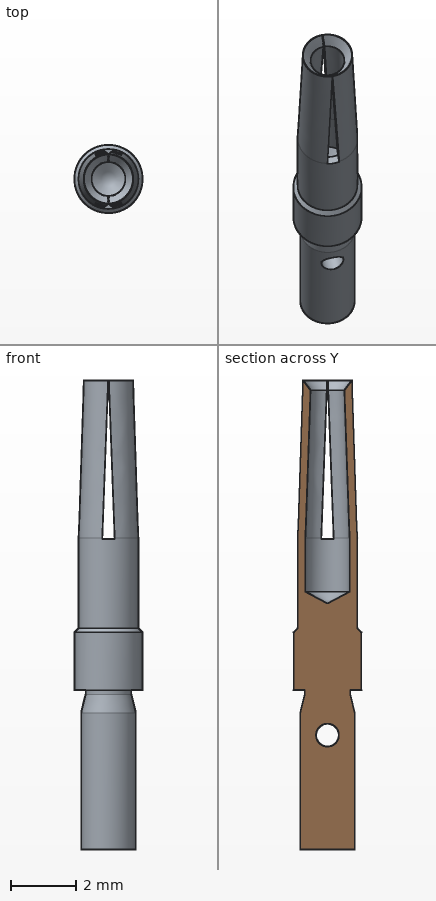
import cadquery as cq

length = 14.4
barrel_top = 4.2
neck_bottom = 4.77
flange_bottom = 4.9
flange_top = 6.8
tine_root = 9.58
slot_floor = 9.53

barrel_radius = 0.842
neck_radius = 0.7
flange_radius = 1.05
shank_radius = 0.92
tip_radius = 0.76
flange_chamfer = flange_radius - shank_radius

lip_thickness = 0.01
lead_in_depth = 0.3
bore_tip_radius = 0.52
tine_wall = tip_radius - bore_tip_radius
bore_root_radius = shank_radius - tine_wall
bore_floor = 7.92
bore_cone_depth = 0.36

slot_root_width = 0.37
slot_tip_width = 0.01

inspection_radius = 0.35
inspection_height = 3.51


def turned_body():
    """Solid of revolution from the barrel up to the tapered tip."""
    outline = [
        (0, 0),
        (barrel_radius, 0),
        (barrel_radius, barrel_top),
        (neck_radius, neck_bottom),
        (neck_radius, flange_bottom),
        (flange_radius, flange_bottom),
        (flange_radius, flange_top - flange_chamfer),
        (shank_radius, flange_top),
        (shank_radius, tine_root),
        (tip_radius, length),
        (0, length),
    ]
    return cq.Workplane("XZ").polyline(outline).close().revolve(360, (0, 0), (0, 1))


def socket_bore():
    """Cutter for the socket that opens at the tip."""
    outline = [
        (0, bore_floor - bore_cone_depth),
        (bore_root_radius, bore_floor),
        (bore_root_radius, tine_root),
        (bore_tip_radius, length - lead_in_depth),
        (tip_radius - lip_thickness, length),
        (0, length),
    ]
    return cq.Workplane("XZ").polyline(outline).close().revolve(360, (0, 0), (0, 1))


def tine_slot():
    """Tapered cutter that passes through both walls along Y."""
    outline = [
        (-slot_root_width / 2, slot_floor),
        (slot_root_width / 2, slot_floor),
        (slot_tip_width / 2, length),
        (-slot_tip_width / 2, length),
    ]
    return cq.Workplane("XZ").polyline(outline).close().extrude(flange_radius, both=True)


def inspection_hole():
    """Radial cutter from the axis out through the +Y side."""
    return (
        cq.Workplane("XZ")
        .center(0, inspection_height)
        .circle(inspection_radius)
        .extrude(-flange_radius)
    )


result = turned_body().cut(socket_bore()).cut(tine_slot()).cut(inspection_hole())